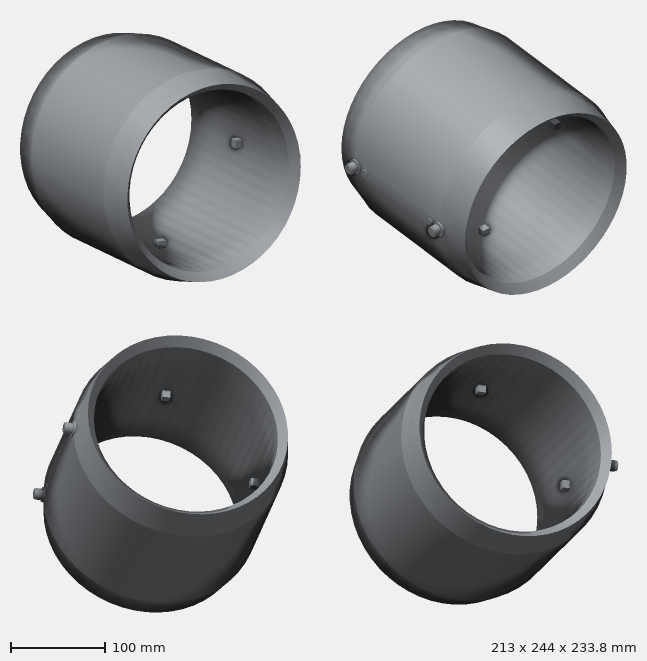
import cadquery as cq

length = 213.0
outer_radius = 116.9
end_radius = 108.8
bore_radius = 100.0
bevel_depth = 9.8
straight_length = 144.0

stop_size = 8.8
stop_height = 8.3
stop_count = 4

terminal_offset = 71.5
terminal_top = 127.1
terminal_root = 111.0
flange_diameter = 16.0
flange_top = 118.3
flange_bottom = 115.2
neck_diameter = 11.0
neck_top = 119.3
post_diameter = 12.2
tip_diameter = 10.7
tip_height = 1.7

indicator_offset = 55.9
indicator_diameter = 9.0
indicator_top = 117.5

half_length = length / 2
half_straight = straight_length / 2


def radial_cylinder(x, diameter, bottom, top):
    """Cylinder along +Y at position x, between two levels above the axis."""
    base = cq.Workplane("XZ", origin=(x, bottom, 0))
    return base.circle(diameter / 2).extrude(bottom - top)


def sleeve():
    """Tapered tube with sharp, internally bevelled mouths, revolved around the X axis."""
    bore_half_length = half_length - bevel_depth
    return (
        cq.Workplane("XY")
        .moveTo(-bore_half_length, bore_radius)
        .lineTo(-half_length, end_radius)
        .lineTo(-half_straight, outer_radius)
        .lineTo(half_straight, outer_radius)
        .lineTo(half_length, end_radius)
        .lineTo(bore_half_length, bore_radius)
        .close()
        .revolve(360, (0, 0, 0), (1, 0, 0))
    )


def pipe_stop(angle):
    """Square block reaching from inside the wall into the bore."""
    inner_level = bore_radius - stop_height
    outer_level = (bore_radius + outer_radius) / 2
    block_height = outer_level - inner_level
    block = cq.Workplane("XY").box(stop_size, stop_size, block_height)
    block = block.translate((0, 0, inner_level + block_height / 2))
    return block.rotate((0, 0, 0), (1, 0, 0), angle)


def terminal(x):
    """Stepped contact post on a narrow neck above a round flange."""
    shoulder = terminal_top - tip_height
    flange = radial_cylinder(x, flange_diameter, flange_bottom, flange_top)
    neck = radial_cylinder(x, neck_diameter, terminal_root, neck_top)
    post = radial_cylinder(x, post_diameter, neck_top, shoulder)
    tip = radial_cylinder(x, tip_diameter, shoulder, terminal_top)
    return neck.union(flange).union(post).union(tip)


def indicator(x):
    """Low round button just proud of the outer surface."""
    return radial_cylinder(x, indicator_diameter, terminal_root, indicator_top)


result = sleeve()
for index in range(stop_count):
    result = result.union(pipe_stop(index * 360 / stop_count))
for side in (-1, 1):
    result = result.union(terminal(side * terminal_offset))
    result = result.union(indicator(side * indicator_offset))